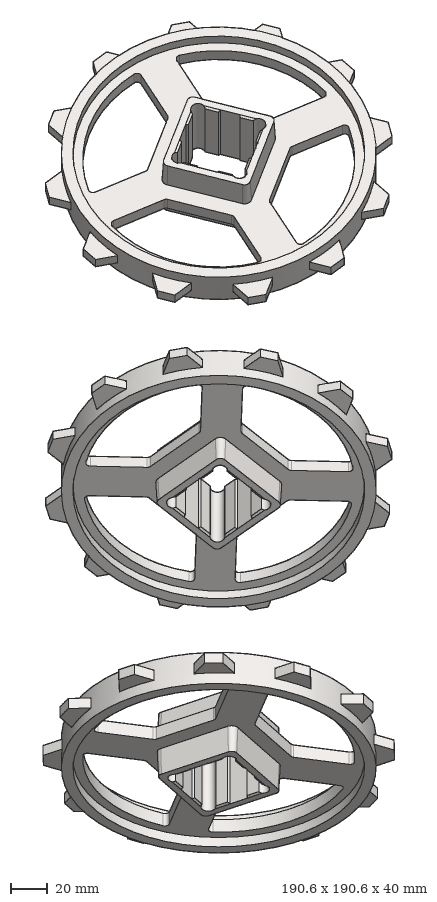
import cadquery as cq
import math

tip_to_tip = 190.6
hub_height = 40.0

rim_radius = 85.4
rim_height = hub_height / 2
recess_radius = 79.1

web_thickness = 8.0
window_radius = 73.8
window_inner_distance = 34.7
spoke_width = 22.0
window_corner_radius = 2.5

tooth_count = 12
tooth_height = 6.5
tooth_tip_width = 10.0
tooth_flank_angle = 30.0

hub_base_width = 50.7
hub_top_width = 49.2
hub_corner_radius = 4.0

bore_width = 41.0
relief_radius = 4.0
relief_spacing = 34.3
pad_thickness = 1.3
pad_inner_distance = 6.1
pad_side_slope = 0.5
pad_bevel_height = 0.8


def centered_disc(radius, height):
    return cq.Workplane("XY").circle(radius).extrude(height / 2, both=True)


def make_tooth():
    """Tooth pointing along +X, rooted just inside the outer face of the rim."""
    tip_x = tip_to_tip / 2
    root_x = (rim_radius + recess_radius) / 2
    half_tip = tooth_tip_width / 2
    half_root = half_tip + (tip_x - root_x) * math.tan(math.radians(tooth_flank_angle))
    outline = [(root_x, -half_root), (tip_x, -half_tip), (tip_x, half_tip), (root_x, half_root)]
    return cq.Workplane("XY").polyline(outline).close().extrude(tooth_height / 2, both=True)


def make_wheel():
    """Rim and web with a recess on each face."""
    wheel = centered_disc(rim_radius, rim_height)
    recess = centered_disc(recess_radius, rim_height).cut(centered_disc(recess_radius, web_thickness))
    wheel = wheel.cut(recess)
    tooth = make_tooth()
    for index in range(tooth_count):
        wheel = wheel.union(tooth.rotate((0, 0, 0), (0, 0, 1), index * 360 / tooth_count))
    return wheel


def make_window():
    """Window on the +X side, bounded by the hub, two diagonal spokes and the rim."""
    spoke_offset = spoke_width / math.sqrt(2)
    inner_y = window_inner_distance - spoke_offset
    half_chord = math.sqrt(window_radius**2 - (spoke_width / 2) ** 2)
    outer_x = (half_chord + spoke_width / 2) / math.sqrt(2)
    outer_y = outer_x - spoke_offset
    return (
        cq.Workplane("XY")
        .moveTo(window_inner_distance, -inner_y)
        .lineTo(outer_x, -outer_y)
        .threePointArc((window_radius, 0), (outer_x, outer_y))
        .lineTo(window_inner_distance, inner_y)
        .close()
        .extrude(rim_height / 2, both=True)
        .edges("|Z")
        .fillet(window_corner_radius)
    )


def make_hub():
    """Solid square hub, mirrored about the middle of the web."""
    draft_height = (hub_height - web_thickness) / 2
    draft_angle = math.degrees(math.atan((hub_base_width - hub_top_width) / 2 / draft_height))
    base = cq.Sketch().rect(hub_base_width, hub_base_width).vertices().fillet(hub_corner_radius)
    upper = (
        cq.Workplane("XY", origin=(0, 0, web_thickness / 2))
        .placeSketch(base)
        .extrude(draft_height, taper=draft_angle)
    )
    return upper.union(upper.mirror("XY"))


def make_pads():
    """The two pads on the +X bore wall, beveled down to the wall at both ends."""
    wall_x = bore_width / 2
    face_x = wall_x - pad_thickness
    half_height = hub_height / 2
    face_half_height = half_height - pad_bevel_height
    profile = [
        (wall_x, -half_height),
        (face_x, -face_half_height),
        (face_x, face_half_height),
        (wall_x, half_height),
    ]
    strip = cq.Workplane("XZ").polyline(profile).close().extrude(relief_spacing / 2, both=True)
    foot_distance = pad_inner_distance - pad_side_slope
    gap_outline = [
        (wall_x, -foot_distance),
        (face_x, -pad_inner_distance),
        (face_x, pad_inner_distance),
        (wall_x, foot_distance),
    ]
    gap = cq.Workplane("XY").polyline(gap_outline).close().extrude(half_height, both=True)
    return strip.cut(gap)


def make_bore():
    """Volume removed by the bore, with the pads left standing."""
    bore = cq.Workplane("XY").box(bore_width, bore_width, hub_height).edges("|Z").fillet(relief_radius)
    pads = make_pads()
    for quarter in range(4):
        bore = bore.cut(pads.rotate((0, 0, 0), (0, 0, 1), quarter * 90))
    reliefs = (
        cq.Workplane("XY")
        .rect(relief_spacing, relief_spacing, forConstruction=True)
        .vertices()
        .circle(relief_radius)
        .extrude(hub_height / 2, both=True)
    )
    return bore.union(reliefs)


wheel = make_wheel()
window = make_window()
for quarter in range(4):
    wheel = wheel.cut(window.rotate((0, 0, 0), (0, 0, 1), quarter * 90))

result = wheel.union(make_hub()).cut(make_bore())